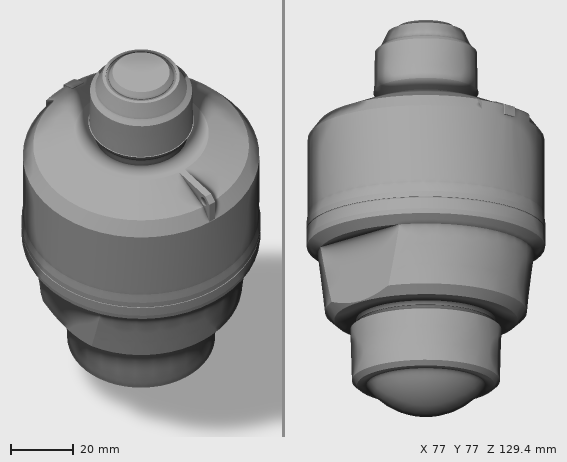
import cadquery as cq
import math

TOTAL_HEIGHT = 129.4

DOME_RADIUS = 19.2
DOME_HEIGHT = 9.7

COLLAR_RADIUS = 24.3
COLLAR_BOTTOM_RADIUS = 23.8
COLLAR_CHAMFER_RADIUS = 22.1
COLLAR_CHAMFER_TOP = 11.1
COLLAR_TOP = 28.2
COLLAR_LIP_RADIUS = 23.2
NECK_RADIUS = 22.5
NECK_GROOVE_DEPTH = 0.3
NECK_BOTTOM = 28.7
NECK_GROOVE_Z = 29.5
NECK_GROOVE_WIDTH = 0.5

WRENCH_BOTTOM = 31.5
WRENCH_CHAMFER_RADIUS = 29.5
WRENCH_CHAMFER_TOP = 34.2
WRENCH_BOTTOM_RADIUS = 32.5
WRENCH_TOP_RADIUS = 34.8
WRENCH_TOP = 53.6
ACROSS_FLATS = 59.5

BAND_RADIUS = 38.5
BODY_RADIUS = 38.0
BAND_BOTTOM = 56.0
BAND_TOP = 63.4
BAND_BLEND_TOP = 66.7
BAND_FOOT_RADIUS = 38.3
BAND_FOOT_TOP = 57.6
BAND_GROOVE_Z = 61.3
BAND_GROOVE_WIDTH = 0.4
BAND_GROOVE_DEPTH = 0.3
SHOULDER_BOTTOM = 92.3
SHOULDER_TOP = 96.7
SHOULDER_RADIUS = 34.7
LID_TOP = 102.1
LID_RADIUS = 21.7
LID_SLOPE = (LID_TOP - SHOULDER_TOP) / (SHOULDER_RADIUS - LID_RADIUS)

CAP_NECK_RADIUS = 15.0
CAP_NECK_TOP = 104.5
CAP_RIM_RADIUS = 17.0
CAP_RIM_Z = 107.7
CAP_LOWER_RADIUS = 16.7
CAP_UPPER_RADIUS = 16.5
CAP_UPPER_Z = 121.1
CAP_BEVEL_RADIUS = 14.8
CAP_BEVEL_Z = 122.7
CAP_CONE_TOP_RADIUS = 12.4
CAP_CONE_TOP = 127.6
CAP_MOAT_RADIUS = 11.4
CAP_MOAT_DEPTH = 0.4
BUTTON_BASE_RADIUS = 10.5
BUTTON_TOP_RADIUS = 9.2

PAD_HALF_ANGLE = 16.4
PAD_LIP = 0.5
MARKER_WIDTH = 4.4
MARKER_INNER_X = 33.6
MARKER_BOTTOM = 92.0
MARKER_RISE = 0.3

TAB_THICKNESS = 2.3
TAB_CHAMFER = 2.1
TAB_END_X = 37.9
TAB_BOTTOM = 90.6
TAB_HOLE_X = 35.0
TAB_HOLE_Z = 99.3
TAB_HOLE_DIAMETER = 3.1


def lid_height(radius):
    """Height of the lid cone at a given radius."""
    return LID_TOP - LID_SLOPE * (radius - LID_RADIUS)


def turned_body():
    """Half profile in the XZ plane, revolved about Z."""
    sphere_radius = (DOME_RADIUS**2 + DOME_HEIGHT**2) / (2 * DOME_HEIGHT)
    half_chord = DOME_RADIUS / 2
    arc_middle_z = sphere_radius - math.sqrt(sphere_radius**2 - half_chord**2)
    profile = (
        cq.Workplane("XZ")
        .moveTo(0, 0)
        .threePointArc((half_chord, arc_middle_z), (DOME_RADIUS, DOME_HEIGHT))
        .lineTo(COLLAR_CHAMFER_RADIUS, DOME_HEIGHT)
        .lineTo(COLLAR_BOTTOM_RADIUS, COLLAR_CHAMFER_TOP)
        .lineTo(COLLAR_RADIUS, COLLAR_TOP)
        .lineTo(COLLAR_LIP_RADIUS, NECK_BOTTOM)
        .lineTo(NECK_RADIUS, NECK_BOTTOM)
        .lineTo(NECK_RADIUS, NECK_GROOVE_Z)
        .lineTo(NECK_RADIUS - NECK_GROOVE_DEPTH, NECK_GROOVE_Z)
        .lineTo(NECK_RADIUS - NECK_GROOVE_DEPTH, NECK_GROOVE_Z + NECK_GROOVE_WIDTH)
        .lineTo(NECK_RADIUS, NECK_GROOVE_Z + NECK_GROOVE_WIDTH)
        .lineTo(NECK_RADIUS, WRENCH_BOTTOM)
        .lineTo(WRENCH_CHAMFER_RADIUS, WRENCH_BOTTOM)
        .lineTo(WRENCH_BOTTOM_RADIUS, WRENCH_CHAMFER_TOP)
        .lineTo(WRENCH_TOP_RADIUS, WRENCH_TOP)
        .lineTo(BAND_FOOT_RADIUS, BAND_BOTTOM)
        .lineTo(BAND_RADIUS, BAND_FOOT_TOP)
        .lineTo(BAND_RADIUS, BAND_TOP)
        .lineTo(BODY_RADIUS, BAND_BLEND_TOP)
        .lineTo(BODY_RADIUS, lid_height(BODY_RADIUS) - PAD_LIP)
        .lineTo(BODY_RADIUS - PAD_LIP, lid_height(BODY_RADIUS - PAD_LIP))
        .lineTo(LID_RADIUS, LID_TOP)
        .lineTo(CAP_NECK_RADIUS, LID_TOP)
        .lineTo(CAP_NECK_RADIUS, CAP_NECK_TOP)
        .lineTo(CAP_RIM_RADIUS, CAP_RIM_Z)
        .lineTo(CAP_LOWER_RADIUS, CAP_RIM_Z)
        .lineTo(CAP_UPPER_RADIUS, CAP_UPPER_Z)
        .lineTo(CAP_BEVEL_RADIUS, CAP_BEVEL_Z)
        .lineTo(CAP_CONE_TOP_RADIUS, CAP_CONE_TOP)
        .lineTo(CAP_MOAT_RADIUS, CAP_CONE_TOP)
        .lineTo(CAP_MOAT_RADIUS, CAP_CONE_TOP - CAP_MOAT_DEPTH)
        .lineTo(BUTTON_BASE_RADIUS, CAP_CONE_TOP - CAP_MOAT_DEPTH)
        .lineTo(BUTTON_BASE_RADIUS, CAP_CONE_TOP)
        .lineTo(BUTTON_TOP_RADIUS, TOTAL_HEIGHT)
        .lineTo(0, TOTAL_HEIGHT)
        .close()
    )
    return profile.revolve(360, (0, 0), (0, 1))


def ring(inner_radius, outer_radius, bottom, height):
    """Plain ring about Z."""
    return (
        cq.Workplane("XY")
        .workplane(offset=bottom)
        .circle(outer_radius)
        .circle(inner_radius)
        .extrude(height)
    )


def flat_cutter(side):
    """Block outside one wrench flat, on the side = +1 or -1 of Y."""
    depth = BAND_RADIUS
    height = WRENCH_TOP - COLLAR_TOP
    block = cq.Workplane("XY").box(2 * BAND_RADIUS, depth, height, centered=(True, True, False))
    return block.translate((0, side * (ACROSS_FLATS + depth) / 2, COLLAR_TOP))


def shoulder_cutter():
    """Bevel around the lid edge, leaving an uncut index pad centred on -X."""
    run = BODY_RADIUS - SHOULDER_RADIUS
    drop = SHOULDER_TOP - SHOULDER_BOTTOM
    outer_radius = BODY_RADIUS + run
    sweep = (
        cq.Workplane("XZ")
        .moveTo(SHOULDER_RADIUS - run, SHOULDER_TOP + drop)
        .lineTo(outer_radius, SHOULDER_BOTTOM - drop)
        .lineTo(outer_radius, SHOULDER_TOP + drop)
        .close()
        .revolve(360 - 2 * PAD_HALF_ANGLE, (0, 0), (0, 1))
    )
    return sweep.rotate((0, 0, 0), (0, 0, 1), PAD_HALF_ANGLE - 180)


def marker():
    """Small raised key on the middle of the index pad."""
    return (
        cq.Workplane("XZ")
        .moveTo(-MARKER_INNER_X, MARKER_BOTTOM)
        .lineTo(-BAND_RADIUS, MARKER_BOTTOM)
        .lineTo(-BAND_RADIUS, lid_height(BAND_RADIUS) + MARKER_RISE)
        .lineTo(-MARKER_INNER_X, lid_height(MARKER_INNER_X) + MARKER_RISE)
        .close()
        .extrude(MARKER_WIDTH / 2, both=True)
    )


def hanging_tab():
    """Thin upright plate level with the lid top, with a cross hole."""
    plate = (
        cq.Workplane("XZ")
        .moveTo(LID_RADIUS - TAB_THICKNESS, TAB_BOTTOM)
        .lineTo(TAB_END_X, TAB_BOTTOM)
        .lineTo(TAB_END_X, LID_TOP - TAB_CHAMFER)
        .lineTo(TAB_END_X - TAB_CHAMFER, LID_TOP)
        .lineTo(LID_RADIUS - TAB_THICKNESS, LID_TOP)
        .close()
        .extrude(TAB_THICKNESS / 2, both=True)
    )
    hole = (
        cq.Workplane("XZ")
        .center(TAB_HOLE_X, TAB_HOLE_Z)
        .circle(TAB_HOLE_DIAMETER / 2)
        .extrude(TAB_THICKNESS, both=True)
    )
    return plate.cut(hole)


result = turned_body()
for side in (1, -1):
    result = result.cut(flat_cutter(side))
band_groove = ring(
    BAND_RADIUS - BAND_GROOVE_DEPTH,
    BAND_RADIUS + BAND_GROOVE_DEPTH,
    BAND_GROOVE_Z - BAND_GROOVE_WIDTH / 2,
    BAND_GROOVE_WIDTH,
)
result = result.cut(band_groove).cut(shoulder_cutter())
result = result.union(marker()).union(hanging_tab())